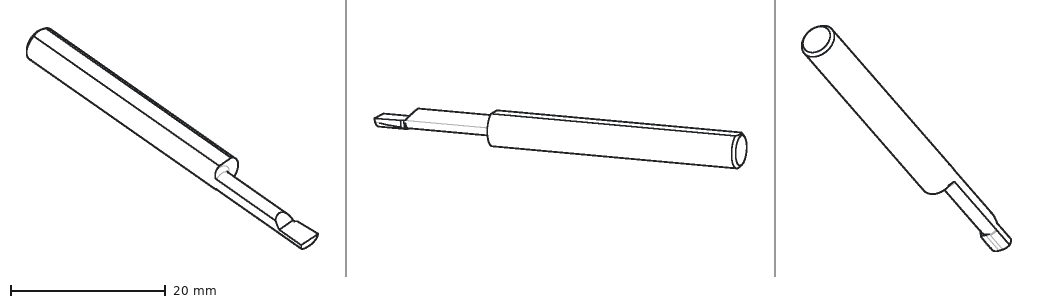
import cadquery as cq

total_length = 50.8
shank_radius = 2.4
shank_length = 34.4
flat_height = 2.15
rear_chamfer = 0.4

neck_diameter = 2.7
neck_radius = neck_diameter / 2
neck_axis_y = -1.2
neck_top_y = neck_axis_y + neck_radius
neck_fillet = 0.55

rake_z = 0.0
ramp_end_x = 46.7
ramp_length = 1.2
ramp_start_x = ramp_end_x - ramp_length

head_start_x = 46.9
head_shoulder_x = 47.25
head_shoulder_y = 0.4
tip_y = 0.65
end_setback = 0.1
relief_offset = 0.2


def make_shank():
    shank = cq.Workplane("YZ").circle(shank_radius).extrude(shank_length)
    shank = shank.faces("<X").chamfer(rear_chamfer)
    flat_cut = cq.Workplane("XY").workplane(offset=flat_height)
    flat_cut = flat_cut.rect(2 * shank_length, 2 * shank_radius).extrude(shank_radius)
    return shank.cut(flat_cut)


def make_neck():
    """Round neck with a concave fillet at its root."""
    fillet_end_x = shank_length + neck_fillet
    root_radius = neck_radius + neck_fillet
    arc_center = (fillet_end_x, root_radius)
    arc_reach = neck_fillet / 2 ** 0.5
    arc_middle = (arc_center[0] - arc_reach, arc_center[1] - arc_reach)
    profile = (
        cq.Workplane("XY", origin=(0, neck_axis_y, 0))
        .moveTo(shank_length, 0)
        .lineTo(shank_length, root_radius)
        .threePointArc(arc_middle, (fillet_end_x, neck_radius))
        .lineTo(total_length, neck_radius)
        .lineTo(total_length, 0)
        .close()
    )
    neck = profile.revolve(360, (0, 0, 0), (1, 0, 0))
    space_above_rake = (
        cq.Workplane("XZ")
        .moveTo(ramp_start_x, neck_radius)
        .lineTo(ramp_end_x, rake_z)
        .lineTo(total_length, rake_z)
        .lineTo(total_length, neck_radius)
        .close()
        .extrude(2 * shank_radius, both=True)
    )
    space_beyond_neck = cq.Workplane("YZ", origin=(head_start_x, 0, 0))
    space_beyond_neck = space_beyond_neck.rect(4 * shank_radius, 4 * shank_radius).extrude(total_length)
    return neck.cut(space_above_rake).cut(space_beyond_neck)


def head_outline(setback):
    """Plan outline of the head, with its end and cutting side moved inwards."""
    return [
        (ramp_end_x, -shank_radius),
        (ramp_end_x, neck_top_y - setback),
        (head_start_x, neck_top_y - setback),
        (head_shoulder_x, head_shoulder_y - setback),
        (total_length - setback, tip_y - setback),
        (total_length - end_setback - setback, -shank_radius),
    ]


def make_head():
    """Head tapering below the rake face, with a rounded underside."""
    wedge = (
        cq.Workplane("XY", origin=(0, 0, rake_z))
        .polyline(head_outline(0))
        .close()
        .workplane(offset=-neck_radius)
        .polyline(head_outline(relief_offset))
        .close()
        .loft(ruled=True)
    )
    section_width = tip_y - neck_axis_y + neck_radius
    section_center_y = tip_y - section_width / 2
    rounded_bar = cq.Workplane("YZ", origin=(ramp_end_x, section_center_y, 0))
    rounded_bar = rounded_bar.slot2D(section_width, 2 * neck_radius).extrude(total_length)
    return wedge.intersect(rounded_bar)


stock = cq.Workplane("YZ").circle(shank_radius).extrude(total_length)
tool_end = make_neck().union(make_head()).intersect(stock)
result = make_shank().union(tool_end)